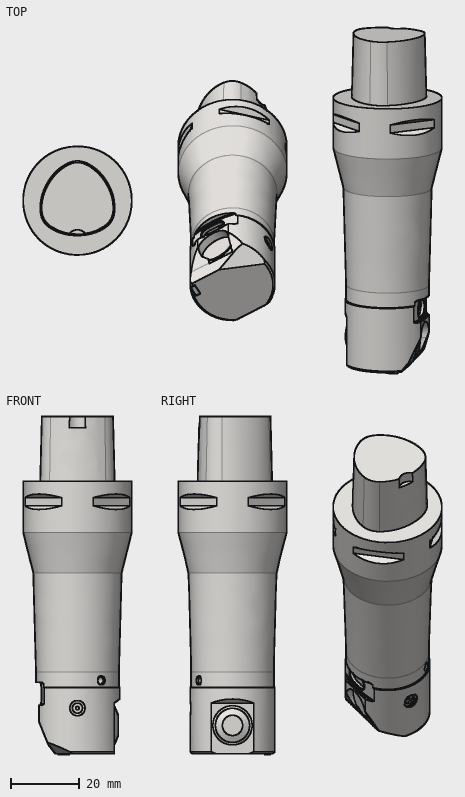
import cadquery as cq
import math

tip_z = 0.0
head_bottom_z = 0.3
head_top_z = 19.9
neck_top_z = 24.4
shank_top_z = 53.5
flange_bottom_z = 65.5
flange_top_z = 80.5
coupling_top_z = 99.5

flange_dia = 32.0
shank_dia = 26.1
neck_dia = 24.5
head_dia = 25.0
head_edge_chamfer = 0.6
head_shoulder_chamfer = 0.2

coupling_base_dia = 22.0
coupling_taper = 1 / 40
coupling_lobe_rise = 0.7
lobe_crests = (90, 210, 330)
lobe_half_angle = 23.5
outline_points = 5
key_dia = 6.0
key_axis_y = -11.5
key_depth = 3.4

slot_count = 4
slot_floor_distance = 14.1
slot_floor_height = 2.4
slot_mouth_height = 4.6
slot_z = 74.4
slot_half_length = 11.9

window_floor_radius = 32.8
window_floor_x = -10.7
window_half_turn = 30.0
window_reach = 4.0
window_bottom_z = 14.6
window_top_z = 21.3
window_corner_rise = 0.4
window_corner_depth = 0.3

oblong_y = 0.7
oblong_z = 17.8
oblong_length = 8.1
oblong_width = 5.2
oblong_inner_width = 4.5
oblong_step_depth = 0.4
oblong_depth = 1.4
adjuster_y = -2.0
adjuster_z = 18.1
adjuster_dia = 2.6
adjuster_socket_dia = 1.6
adjuster_depth = 0.5
adjuster_socket_depth = 1.5

back_flat_x = -11.3
steep_slope_top_z = 9.8
slope_break_x = -8.7
slope_break_z = 3.1
gentle_slope_end_x = -6.3
front_flat_x = 10.8
front_flat_top_z = 15.2
front_flat_lead = 1.2
relief_points = [(-8.7, -9.0, 3.6), (-2.1, -12.3, 0.8), (-6.6, 0.9, 0.3)]

pin_dia = 10.0
pin_z = 8.7
pin_back_x = -8.8
pin_head_base_dia = 11.5
pin_head_tip_dia = 6.0
pin_head_height = 1.2
step_floor_x = -8.5
step_min_y = -5.0
step_max_y = 2.9
step_bottom_z = 2.7

screw_z = 13.7
screw_mouth_dia = 4.5
screw_mouth_depth = 0.7
screw_bore_dia = 3.0
screw_bore_depth = 1.5
screw_socket_dia = 1.0
screw_socket_depth = 2.5

outlet_z = 21.9
outlet_angle = -54.5
outlet_dia = 2.6
outlet_inner_dia = 2.2
outlet_step_depth = 0.7
outlet_depth = 5.0

tip_min_x = -5.7
tip_max_x = -2.4
tip_min_y = 9.6
tip_max_y = 11.0
tip_height = 1.2

beyond = 39.8
clearance = 1.0


def drill(origin, outward, diameter, depth):
    """Round cutter entering at origin against the outward direction."""
    inward = cq.Vector(*outward) * -1
    return cq.Solid.makeCylinder(diameter / 2, depth, cq.Vector(*origin), inward)


def half_space(points, outward):
    """Large block on the outward side of the plane through three points."""
    a, b, c = (cq.Vector(*p) for p in points)
    normal = (b - a).cross(c - a)
    if normal.dot(cq.Vector(*outward)) < 0:
        normal = normal * -1
    return cq.Workplane(cq.Plane(origin=a, normal=normal)).rect(2 * beyond, 2 * beyond).extrude(beyond)


def coupling_point(radius, angle, z):
    """Point of the constant-width three-lobed curve whose normal has the given angle."""
    lobes = len(lobe_crests)
    phase = lobes * (angle - math.radians(lobe_crests[0]))
    support = radius + coupling_lobe_rise * math.cos(phase)
    slope = -lobes * coupling_lobe_rise * math.sin(phase)
    x = support * math.cos(angle) - slope * math.sin(angle)
    y = support * math.sin(angle) + slope * math.cos(angle)
    return cq.Vector(x, y, z)


def coupling_outline(z):
    radius = coupling_base_dia / 2 - coupling_taper * (z - flange_top_z)
    pitch = 360 / len(lobe_crests)
    edges = []
    for crest in lobe_crests:
        breaks = [crest - lobe_half_angle, crest + lobe_half_angle, crest + pitch - lobe_half_angle]
        for start, end in zip(breaks, breaks[1:]):
            step = (end - start) / (outline_points - 1)
            angles = [math.radians(start + i * step) for i in range(outline_points)]
            edges.append(cq.Edge.makeSpline([coupling_point(radius, a, z) for a in angles]))
    return cq.Wire.assembleEdges(edges)


def coupling():
    outlines = [coupling_outline(flange_top_z), coupling_outline(coupling_top_z)]
    taper = cq.Workplane(cq.Solid.makeLoft(outlines))
    key_floor = cq.Workplane("XY", origin=(0, key_axis_y, coupling_top_z - key_depth))
    return taper.cut(key_floor.circle(key_dia / 2).extrude(key_depth))


def turned_body():
    profile = [
        (0, head_bottom_z),
        (head_dia / 2 - head_edge_chamfer, head_bottom_z),
        (head_dia / 2, head_bottom_z + head_edge_chamfer),
        (head_dia / 2, head_top_z - head_shoulder_chamfer),
        (head_dia / 2 - head_shoulder_chamfer, head_top_z),
        (neck_dia / 2, head_top_z),
        (neck_dia / 2, neck_top_z),
        (shank_dia / 2, shank_top_z),
        (flange_dia / 2, flange_bottom_z),
        (flange_dia / 2, flange_top_z),
        (0, flange_top_z),
    ]
    return cq.Workplane("XZ").polyline(profile).close().revolve(360, (0, 0), (0, 1))


def gripper_slots():
    depth = flange_dia / 2 - slot_floor_distance
    flare = (slot_mouth_height - slot_floor_height) / 2 / depth
    reach = 2 * depth
    section = [
        (slot_floor_distance, slot_z - slot_floor_height / 2),
        (slot_floor_distance + reach, slot_z - slot_floor_height / 2 - flare * reach),
        (slot_floor_distance + reach, slot_z + slot_floor_height / 2 + flare * reach),
        (slot_floor_distance, slot_z + slot_floor_height / 2),
    ]
    slot = cq.Workplane("XZ").polyline(section).close().extrude(slot_half_length, both=True)
    slots = cq.Workplane()
    for i in range(slot_count):
        slots = slots.add(slot.rotate((0, 0, 0), (0, 0, 1), (i + 0.5) * 360 / slot_count))
    return slots.combine()


def window():
    axis_x = window_floor_x + window_floor_radius
    profile = [
        (window_floor_x, window_bottom_z + window_corner_rise),
        (window_floor_x, window_top_z - window_corner_rise),
        (window_floor_x - window_corner_depth, window_top_z),
        (window_floor_x - window_reach, window_top_z),
        (window_floor_x - window_reach, window_bottom_z),
        (window_floor_x - window_corner_depth, window_bottom_z),
    ]
    ring = cq.Workplane("XZ").polyline(profile).close()
    sweep = ring.revolve(2 * window_half_turn, (axis_x, 0), (axis_x, 1))
    return sweep.rotate((axis_x, 0, 0), (axis_x, 0, 1), -window_half_turn)


def oblong(width, depth):
    length = oblong_length - oblong_width + width
    start = cq.Workplane("YZ", origin=(window_floor_x + depth, oblong_y, oblong_z))
    return start.slot2D(length, width).extrude(-depth - clearance)


def adjuster_hole():
    mouth = (window_floor_x + oblong_depth, adjuster_y, adjuster_z)
    outward = (-1, 0, 0)
    hole = cq.Workplane(drill(mouth, outward, adjuster_dia, adjuster_depth))
    return hole.union(cq.Workplane(drill(mouth, outward, adjuster_socket_dia, adjuster_socket_depth)))


def back_relief():
    """Everything removed outside the -X flat and the two slopes below it."""
    profile = [
        (back_flat_x, window_bottom_z),
        (back_flat_x, steep_slope_top_z),
        (slope_break_x, slope_break_z),
        (gentle_slope_end_x, tip_z),
        (gentle_slope_end_x, tip_z - clearance),
        (-beyond, tip_z - clearance),
        (-beyond, window_bottom_z),
    ]
    return cq.Workplane("XZ").polyline(profile).close().extrude(beyond, both=True)


def front_relief():
    """Flat on the +X side with a ramp at its upper end."""
    outer_x = head_dia / 2
    profile = [
        (front_flat_x, tip_z - clearance),
        (front_flat_x, front_flat_top_z),
        (outer_x, front_flat_top_z + front_flat_lead),
        (outer_x + clearance, front_flat_top_z + front_flat_lead),
        (outer_x + clearance, tip_z - clearance),
    ]
    return cq.Workplane("XZ").polyline(profile).close().extrude(beyond, both=True)


def cutting_tip():
    size = (tip_max_x - tip_min_x, tip_max_y - tip_min_y, tip_height)
    return cq.Workplane("XY").box(*size, centered=False).translate((tip_min_x, tip_min_y, tip_z))


def pin_step():
    """Square-cornered step beside the lower end of the pin hole."""
    size = (beyond, step_max_y - step_min_y, pin_z - step_bottom_z)
    corner = (step_floor_x - beyond, step_min_y, step_bottom_z)
    return cq.Workplane("XY").box(*size, centered=False).translate(corner)


def screw_hole():
    mouth = (0, -head_dia / 2, screw_z)
    outward = (0, -1, 0)
    hole = cq.Workplane(drill(mouth, outward, screw_mouth_dia, screw_mouth_depth))
    for diameter, depth in ((screw_bore_dia, screw_bore_depth), (screw_socket_dia, screw_socket_depth)):
        hole = hole.union(cq.Workplane(drill(mouth, outward, diameter, depth)))
    return hole


def coolant_outlet():
    angle = math.radians(outlet_angle)
    outward = (math.cos(angle), math.sin(angle), 0)
    start = neck_dia / 2
    mouth = (start * outward[0], start * outward[1], outlet_z)
    hole = cq.Workplane(drill(mouth, outward, outlet_dia, outlet_step_depth))
    return hole.union(cq.Workplane(drill(mouth, outward, outlet_inner_dia, outlet_depth)))


def cross_pin():
    x_axis = cq.Vector(1, 0, 0)
    length = front_flat_x - pin_back_x
    shank = cq.Solid.makeCylinder(pin_dia / 2, length, cq.Vector(pin_back_x, 0, pin_z), x_axis)
    head_start = cq.Vector(front_flat_x, 0, pin_z)
    head = cq.Solid.makeCone(pin_head_base_dia / 2, pin_head_tip_dia / 2, pin_head_height, head_start, x_axis)
    return cq.Workplane(shank).union(cq.Workplane(head))


def pin_hole():
    start = cq.Workplane("YZ", origin=(-beyond, 0, pin_z))
    return start.circle(pin_dia / 2).extrude(2 * beyond)


holder = turned_body().union(coupling())
holder = holder.cut(gripper_slots())
holder = holder.cut(window())
holder = holder.cut(back_relief())
holder = holder.cut(front_relief())
holder = holder.cut(half_space(relief_points, (-1, -1, -1)))
holder = holder.union(cutting_tip())
holder = holder.cut(pin_hole())
holder = holder.cut(pin_step())
holder = holder.cut(oblong(oblong_width, oblong_step_depth))
holder = holder.cut(oblong(oblong_inner_width, oblong_depth))
holder = holder.cut(adjuster_hole())
holder = holder.cut(screw_hole())
holder = holder.cut(coolant_outlet())

pin = cross_pin()

result = cq.Compound.makeCompound([holder.solids().val(), pin.solids().val()])